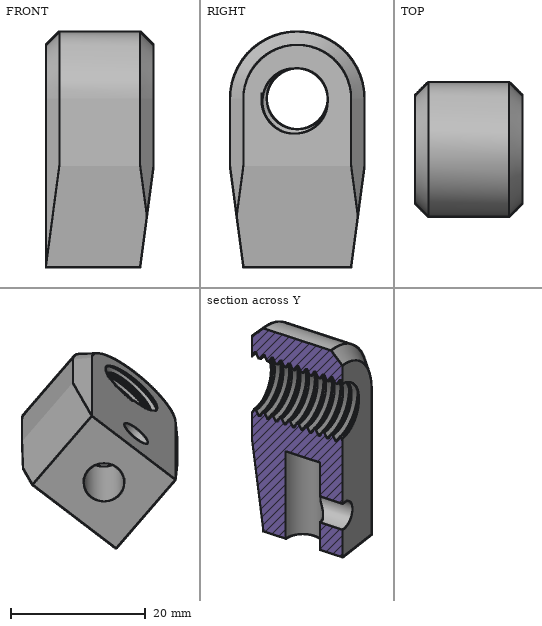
import cadquery as cq
import math

height = 35.0
width = 20.0
thickness = 16.0
head_radius = width / 2
bore_height = height - head_radius
edge_chamfer = 2.0

taper_height = 15.0
taper_inset = edge_chamfer

thread_pitch = 1.5
bore_radius = 9.0 / 2
thread_depth = 0.85
flank_slope = math.tan(math.radians(30))
groove_mouth = thread_pitch * 3 / 4
groove_root = groove_mouth - 2 * thread_depth * flank_slope
cutter_overlap = 0.1

cross_radius = 2.25
cross_height = 7.0
cross_offset = -0.45
blind_radius = 3.0
blind_depth = taper_height
blind_x = (thickness - taper_inset) / 2


def make_body():
    """Arch-topped block with chamfered side and head edges and a tapered foot."""
    arch = (
        cq.Workplane("YZ")
        .moveTo(-head_radius, 0)
        .lineTo(head_radius, 0)
        .lineTo(head_radius, bore_height)
        .threePointArc((0, height), (-head_radius, bore_height))
        .close()
        .extrude(thickness)
    )
    body = arch.faces("<X or >X").edges("not <Z").chamfer(edge_chamfer)

    front_outline = (
        cq.Workplane("XZ")
        .polyline([
            (0, 0),
            (thickness - taper_inset, 0),
            (thickness, taper_height),
            (thickness, height),
            (0, height),
        ])
        .close()
        .extrude(head_radius, both=True)
    )
    foot_half_width = head_radius - taper_inset
    side_outline = (
        cq.Workplane("YZ")
        .polyline([
            (-foot_half_width, 0),
            (foot_half_width, 0),
            (head_radius, taper_height),
            (head_radius, height),
            (-head_radius, height),
            (-head_radius, taper_height),
        ])
        .close()
        .extrude(thickness)
    )
    return body.intersect(front_outline).intersect(side_outline)


def helix_end(helices, position):
    """Points of the helices at their start (0) or finish (1)."""
    return [helix.positionAt(position) for helix in helices]


def make_thread_groove():
    """Right-handed helical V groove along X, starting at the bottom of the bore."""
    length = thickness + thread_pitch
    inner_half = groove_mouth / 2 + cutter_overlap * flank_slope
    inner = bore_radius - cutter_overlap
    outer = bore_radius + thread_depth
    corners = [
        (inner, -inner_half),
        (outer, -groove_root / 2),
        (outer, groove_root / 2),
        (inner, inner_half),
    ]

    helices = [
        cq.Wire.makeHelix(thread_pitch, length, radius).translate(cq.Vector(0, 0, along))
        for radius, along in corners
    ]
    faces = [
        cq.Face.makeRuledSurface(helices[i - 1], helices[i])
        for i in range(len(helices))
    ]
    for end in (helix_end(helices, 0), helix_end(helices, 1)):
        faces.append(cq.Face.makeFromWires(cq.Wire.makePolygon(end, close=True)))
    groove = cq.Workplane(obj=cq.Solid.makeSolid(cq.Shell.makeShell(faces)))

    return (
        groove.rotate((0, 0, 0), (0, 1, 0), 90)
        .translate((-thread_pitch / 4, 0, bore_height))
    )


def make_holes():
    """Cross hole along X meeting the blind hole along Z."""
    cross = (
        cq.Workplane("YZ")
        .center(cross_offset, cross_height)
        .circle(cross_radius)
        .extrude(blind_x)
    )
    blind = cq.Workplane("XY").center(blind_x, 0).circle(blind_radius).extrude(blind_depth)
    return cross.union(blind)


bore = cq.Workplane("YZ").center(0, bore_height).circle(bore_radius).extrude(thickness)

result = make_body().cut(make_holes()).cut(bore).cut(make_thread_groove())